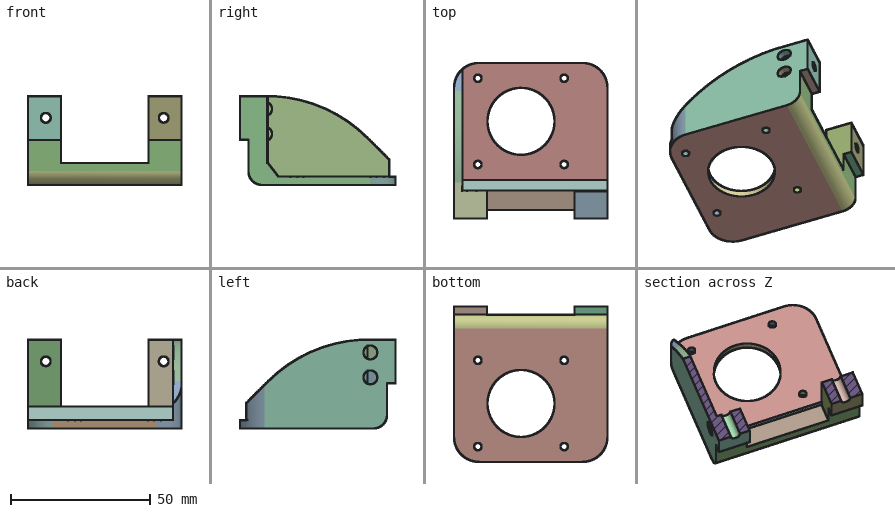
import cadquery as cq
import math

width = 55.3
length = 56.0
height = 32.0

plate_thickness = 3.0
wall_thickness = 3.0
rear_corner_radius = 9.0
rail_front_y = 3.0
rail_height = 8.0
rail_back_y = 10.0
rail_slope_run = 3.85
front_edge_radius = 5.0

flat_top_end_y = 12.9
arc_end_y = 45.8
arc_end_z = 17.1
edge_slope_angle = 45.0

lug_width = 12.0
lug_bottom_z = 16.3
lug_step_y = 0.2
lug_hole_z = 24.2
lug_hole_inset = 6.45
left_lug_hole_diameter = 3.4
right_lug_hole_diameter = 3.35

motor_x = 24.15
motor_y = 34.95
motor_bore_diameter = 24.0
screw_spacing = 31.0
screw_hole_diameter = 2.6

side_hole_diameter = 5.0
side_hole_y = 9.1
side_hole_spacing = 8.95
side_hole_middle_z = 22.9
side_hole_depth = 2.95


def box(x_start, x_end, y_start, y_end, z_start, z_end):
    size = (x_end - x_start, y_end - y_start, z_end - z_start)
    return cq.Workplane("XY").box(*size, centered=False).translate((x_start, y_start, z_start))


def extrude_along_x(outline, x_start, x_end):
    """Extrude a closed outline drawn in (y, z) between two x positions."""
    return outline.extrude(x_end - x_start).translate((x_start, 0, 0))


def base_and_rail():
    outline = (
        cq.Workplane("YZ")
        .moveTo(rail_front_y, 0)
        .lineTo(length, 0)
        .lineTo(length, plate_thickness)
        .lineTo(rail_back_y + rail_slope_run, plate_thickness)
        .lineTo(rail_back_y, rail_height)
        .lineTo(rail_front_y, rail_height)
        .close()
    )
    return extrude_along_x(outline, 0, width)


def side_wall():
    slope = math.radians(edge_slope_angle)
    rear_z = arc_end_z - (length - arc_end_y) * math.tan(slope)
    outline = (
        cq.Workplane("YZ")
        .moveTo(rail_front_y, 0)
        .lineTo(length, 0)
        .lineTo(length, rear_z)
        .lineTo(arc_end_y, arc_end_z)
        .tangentArcPoint((flat_top_end_y, height), relative=False)
        .lineTo(rail_front_y, height)
        .close()
    )
    return extrude_along_x(outline, 0, wall_thickness)


def lug(x_start, back_y):
    x_end = x_start + lug_width
    post = box(x_start, x_end, rail_front_y, back_y, 0, height)
    return post.union(box(x_start, x_end, 0, back_y, lug_bottom_z, height))


def lug_hole(x, diameter):
    hole = cq.Workplane("XZ").center(x, lug_hole_z).circle(diameter / 2)
    return hole.extrude(-length)


def motor_holes():
    centre = cq.Workplane("XY").center(motor_x, motor_y)
    bore = centre.circle(motor_bore_diameter / 2).extrude(plate_thickness)
    screws = (
        centre.rect(screw_spacing, screw_spacing, forConstruction=True)
        .vertices()
        .circle(screw_hole_diameter / 2)
        .extrude(plate_thickness)
    )
    return bore.union(screws)


def side_holes():
    return (
        cq.Workplane("YZ")
        .center(side_hole_y, side_hole_middle_z)
        .rarray(0.55, side_hole_spacing, 1, 2)
        .circle(side_hole_diameter / 2)
        .extrude(side_hole_depth)
    )


body = base_and_rail().union(side_wall())
body = body.union(lug(0, rail_back_y))
body = body.union(lug(width - lug_width, rail_back_y - lug_step_y))

corner_envelope = box(0, width, 0, length, 0, height).edges("|Z and >Y").fillet(rear_corner_radius)
edge_envelope = box(0, width, rail_front_y, length, 0, lug_bottom_z).edges("|X and <Y and <Z")
edge_envelope = edge_envelope.fillet(front_edge_radius)
edge_envelope = edge_envelope.union(box(0, width, 0, length, lug_bottom_z, height))
body = body.intersect(corner_envelope).intersect(edge_envelope)

body = body.cut(lug_hole(lug_hole_inset, left_lug_hole_diameter))
body = body.cut(lug_hole(width - lug_hole_inset, right_lug_hole_diameter))
body = body.cut(motor_holes())
body = body.cut(side_holes())

result = body